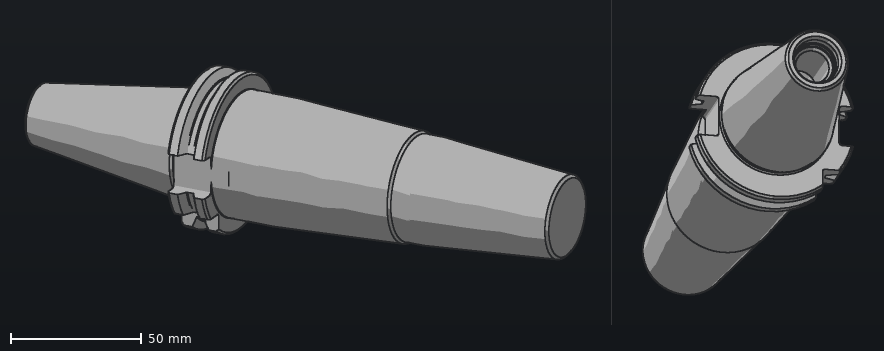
import cadquery as cq
import math

total_length = 228.2
shank_end_x = 67.8
shank_end_radius = 22.1
shank_taper = 7 / 48
shank_tip_chamfer = 1.0

neck_radius = 21.5
neck_start_x = 69.0
neck_root_bevel = 0.7

flange_start_x = 71.2
flange_end_x = 87.2
body_root_bevel = 0.2
flange_radius = 31.7
flange_chamfer = 1.0

groove_start_x = 75.8
groove_end_x = 82.9
groove_depth = 3.7
groove_wall_angle = 30
groove_floor_fillet = 0.5

body_radius = 25.0
body_end_x = 107.3
sleeve_end_x = 161.8
sleeve_end_radius = 22.1
nose_start_x = 163.0
nose_radius = 21.2
nose_taper_x = 170.7
tip_radius = 16.7
tip_chamfer = 1.1

bore_mouth_radius = 9.5
bore_mouth_depth = 1.5
recess_radius = 8.7
recess_depth = 5.0
counterbore_radius = 8.2
counterbore_depth = 7.5
thread_mouth_radius = 7.8
pilot_radius = 6.6
pilot_depth = 32.0
drill_point_depth = 3.9

slot_half_width = 8.0
slot_end_x = 95.0
front_slot_flat_half_width = 2.7
front_slot_floor = math.sqrt(body_radius**2 - front_slot_flat_half_width**2)
back_slot_floor = 22.4
slot_fillet = 1.4

notch_y = -18.5
notch_z = -18.3
notch_fillet = 1.0


def revolve_about_x(points):
    """Turn an (x, radius) outline into a solid of revolution."""
    outline = [(x, -radius) for x, radius in points]
    return cq.Workplane("XY").polyline(outline).close().revolve(360, (0, 0, 0), (1, 0, 0))


def turned_blank():
    tip_face_radius = shank_end_radius - shank_taper * shank_end_x - shank_tip_chamfer
    cone_start_radius = shank_end_radius - shank_taper * (shank_end_x - shank_tip_chamfer)
    return revolve_about_x([
        (0, 0),
        (0, tip_face_radius),
        (shank_tip_chamfer, cone_start_radius),
        (shank_end_x, shank_end_radius),
        (neck_start_x, neck_radius),
        (flange_start_x - neck_root_bevel, neck_radius),
        (flange_start_x, neck_radius + neck_root_bevel),
        (flange_start_x, flange_radius - flange_chamfer),
        (flange_start_x + flange_chamfer, flange_radius),
        (flange_end_x - flange_chamfer, flange_radius),
        (flange_end_x, flange_radius - flange_chamfer),
        (flange_end_x, body_radius + body_root_bevel),
        (flange_end_x + body_root_bevel, body_radius),
        (body_end_x, body_radius),
        (sleeve_end_x, sleeve_end_radius),
        (nose_start_x, nose_radius),
        (nose_taper_x, nose_radius),
        (total_length - tip_chamfer, tip_radius),
        (total_length, tip_radius - tip_chamfer),
        (total_length, 0),
    ])


def gripper_groove():
    wall_run = groove_depth * math.tan(math.radians(groove_wall_angle))
    floor_radius = flange_radius - groove_depth
    ring = revolve_about_x([
        (groove_start_x, flange_radius),
        (groove_start_x + wall_run, floor_radius),
        (groove_end_x - wall_run, floor_radius),
        (groove_end_x, flange_radius),
    ])
    return ring.edges(cq.selectors.RadiusNthSelector(0)).fillet(groove_floor_fillet)


def pull_stud_bore():
    return revolve_about_x([
        (0, 0),
        (0, bore_mouth_radius),
        (bore_mouth_depth, recess_radius),
        (recess_depth, recess_radius),
        (recess_depth + recess_radius - counterbore_radius, counterbore_radius),
        (counterbore_depth, counterbore_radius),
        (counterbore_depth, thread_mouth_radius),
        (counterbore_depth + thread_mouth_radius - pilot_radius, pilot_radius),
        (pilot_depth, pilot_radius),
        (pilot_depth + drill_point_depth, 0),
    ])


def drive_slot(side, floor):
    """Slot cutter on the +Y (side = 1) or -Y (side = -1) face of the flange."""
    length = slot_end_x - flange_start_x
    depth = flange_radius - floor
    cutter = cq.Workplane("XY").box(length, depth, 2 * slot_half_width)
    inner = "<Y" if side > 0 else ">Y"
    cutter = cutter.faces(inner).edges("|X").fillet(slot_fillet)
    return cutter.translate((flange_start_x + length / 2, side * (floor + depth / 2), 0))


def orientation_notch():
    length = flange_end_x - flange_start_x
    reach = flange_radius
    cutter = cq.Workplane("XY").box(length, reach, reach)
    cutter = cutter.edges("|X and >Y and >Z").fillet(notch_fillet)
    return cutter.translate((flange_start_x + length / 2, notch_y - reach / 2, notch_z - reach / 2))


result = (
    turned_blank()
    .cut(gripper_groove())
    .cut(pull_stud_bore())
    .cut(drive_slot(-1, front_slot_floor))
    .cut(drive_slot(1, back_slot_floor))
    .cut(orientation_notch())
)